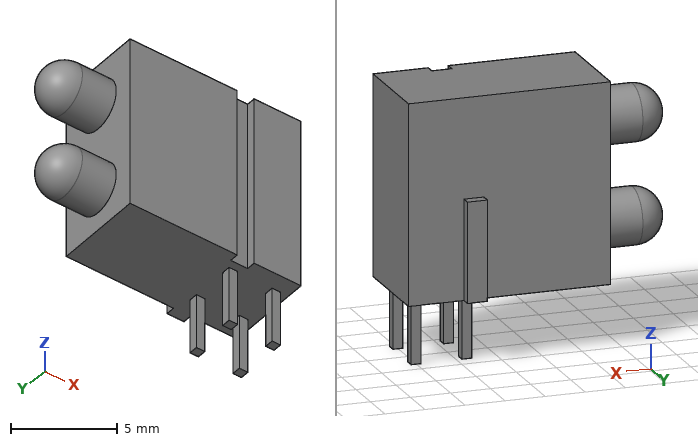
import cadquery as cq

HOUSING_LENGTH = 10.09
HOUSING_WIDTH = 4.95
HOUSING_HEIGHT = 10.0

KEY_WIDTH = 1.0
KEY_DEPTH = 0.5
RIB_HEIGHT = HOUSING_HEIGHT / 2

LED_RADIUS = 1.4
LED_PROJECTION = 3.4
LED_PITCH = 5.09
LOWER_LED_Z = 2.45

PIN_SIZE = 0.5
PIN_LENGTH = 3.21
PIN_PITCH = 2.54
REAR_PIN_INSET = 0.73

rear_pin_x = HOUSING_LENGTH - REAR_PIN_INSET
front_pin_x = rear_pin_x - PIN_PITCH
key_x = front_pin_x


def make_housing():
    """Block with a full-height groove on one side and a half-height rib on the other."""
    block = cq.Workplane("XY").box(
        HOUSING_LENGTH, HOUSING_WIDTH, HOUSING_HEIGHT, centered=(False, True, False)
    )
    groove = (
        cq.Workplane("XY")
        .box(KEY_WIDTH, KEY_DEPTH, HOUSING_HEIGHT, centered=(True, False, False))
        .translate((key_x, -HOUSING_WIDTH / 2, 0))
    )
    rib = (
        cq.Workplane("XY")
        .box(KEY_WIDTH, KEY_DEPTH, RIB_HEIGHT, centered=(True, False, False))
        .translate((key_x, HOUSING_WIDTH / 2, 0))
    )
    return block.cut(groove).union(rib)


def make_led(center_z):
    """Lens revolved about its X axis, its flat base against the housing front."""
    dome_start_x = LED_RADIUS - LED_PROJECTION
    return (
        cq.Workplane("XY")
        .moveTo(0, 0)
        .lineTo(0, LED_RADIUS)
        .lineTo(dome_start_x, LED_RADIUS)
        .radiusArc((-LED_PROJECTION, 0), -LED_RADIUS)
        .close()
        .revolve(360, (0, 0), (1, 0))
        .translate((0, 0, center_z))
    )


def make_pin(x, y):
    """Square pin hanging from the housing bottom."""
    return (
        cq.Workplane("XY")
        .box(PIN_SIZE, PIN_SIZE, PIN_LENGTH, centered=(True, True, False))
        .translate((x, y, -PIN_LENGTH))
    )


housing = make_housing()
leds = [make_led(z) for z in (LOWER_LED_Z, LOWER_LED_Z + LED_PITCH)]
pins = [
    make_pin(x, y)
    for x in (front_pin_x, rear_pin_x)
    for y in (-PIN_PITCH / 2, PIN_PITCH / 2)
]

result = cq.Compound.makeCompound([body.val() for body in [housing, *leds, *pins]])